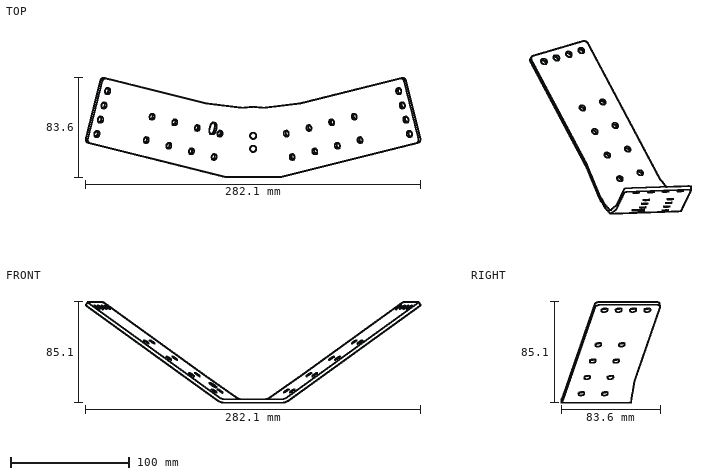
import cadquery as cq
import math

thickness = 3.0
inner_bend_radius = 8.8
bend_angle = 35.0
splay_angle = 14.0

front_half_width = 23.7
middle_depth = 59.3
bend_depth = 58.5

wing_length = 140.3
wing_width = 56.5
wing_corner_radius = 3.5
taper_length = 31.0

hole_diameter = 5.0
end_row_hole_diameter = 5.5
centre_hole_places = [23.7, 34.7]
end_row_distance = 132.5
end_row_start = 9.0
end_row_pitch = 12.5
end_row_count = 4
pair_start = 9.5
pair_pitch = 24.0
pair_count = 4
pair_offsets = [14.0, 34.5]
slot_distance = 17.8
slot_offset = 37.3
slot_length = 10.2
slot_width = 6.8

bend = math.radians(bend_angle)
splay = math.radians(splay_angle)
outer_bend_radius = inner_bend_radius + thickness
bend_centre_height = outer_bend_radius
bend_end_run = inner_bend_radius * math.sin(bend)
bend_end_height = bend_centre_height - inner_bend_radius * math.cos(bend)
bend_line_half_width = front_half_width - bend_depth * math.tan(splay)
reach = front_half_width + wing_length

side_frame = cq.Plane(
    origin=(front_half_width, 0, 0),
    xDir=(math.cos(splay), math.sin(splay), 0),
    normal=(math.sin(splay), -math.cos(splay), 0),
)
wing_frame = cq.Plane(
    origin=side_frame.toWorldCoords((bend_end_run, bend_end_height, 0)),
    xDir=side_frame.xDir * math.cos(bend) + side_frame.yDir * math.sin(bend),
    normal=side_frame.yDir * math.cos(bend) - side_frame.xDir * math.sin(bend),
)


def bend_point(radius, angle):
    """Point on the bend at an angle measured from straight down."""
    return (radius * math.sin(angle), bend_centre_height - radius * math.cos(angle))


def plan_point(slope_distance, offset):
    """Plan position of a point on the upper face of the wing."""
    point = wing_frame.toWorldCoords((slope_distance, offset, 0))
    return (point.x, point.y)


def make_bent_strip():
    """Half of the centre plate, one bend and one wing, before trimming."""
    outer_end = bend_point(outer_bend_radius, bend)
    inner_end = bend_point(inner_bend_radius, bend)
    rise = (wing_length * math.cos(bend), wing_length * math.sin(bend))
    overlap = 2 * front_half_width
    profile = (
        cq.Workplane(side_frame)
        .moveTo(-overlap, 0)
        .lineTo(0, 0)
        .threePointArc(bend_point(outer_bend_radius, bend / 2), outer_end)
        .lineTo(outer_end[0] + rise[0], outer_end[1] + rise[1])
        .lineTo(inner_end[0] + rise[0], inner_end[1] + rise[1])
        .lineTo(*inner_end)
        .threePointArc(bend_point(inner_bend_radius, bend / 2), (0, thickness))
        .lineTo(-overlap, thickness)
        .close()
    )
    return profile.extrude(reach, both=True)


def make_plan_prism():
    """Upright block with the plan outline of one half of the bracket."""
    return (
        cq.Workplane("XY")
        .moveTo(0, 0)
        .lineTo(front_half_width, 0)
        .lineTo(*plan_point(reach, 0))
        .lineTo(*plan_point(reach, wing_width))
        .lineTo(*plan_point(taper_length, wing_width))
        .lineTo(bend_line_half_width, bend_depth)
        .lineTo(0, middle_depth)
        .close()
        .extrude(reach)
    )


def round_wing_corners(half):
    """Round the two free corners of the wing."""
    for offset in (0, wing_width):
        corner = wing_frame.toWorldCoords((wing_length, offset, -thickness / 2))
        half = half.edges(cq.selectors.NearestToPointSelector(corner.toTuple())).fillet(wing_corner_radius)
    return half


def drill_wing(half):
    """End row and paired mounting holes, square to the wing."""
    end_row = [(end_row_distance, end_row_start + i * end_row_pitch) for i in range(end_row_count)]
    pairs = []
    for i in range(pair_count):
        for offset in pair_offsets:
            pairs.append((pair_start + i * pair_pitch, offset))
    for places, diameter in ((end_row, end_row_hole_diameter), (pairs, hole_diameter)):
        drills = cq.Workplane(wing_frame).pushPoints(places).circle(diameter / 2)
        half = half.cut(drills.extrude(thickness, both=True))
    return half


def cut_slot(bracket):
    """Slot through the left wing only, parallel to its bend line."""
    slot = (
        cq.Workplane(wing_frame)
        .center(slot_distance, slot_offset)
        .slot2D(slot_length, slot_width, 90)
        .extrude(thickness, both=True)
    )
    return bracket.cut(slot.mirror("YZ"))


def drill_centre(bracket):
    """Two holes on the symmetry line of the centre plate."""
    places = [(0, y) for y in centre_hole_places]
    drills = cq.Workplane("XY").pushPoints(places).circle(hole_diameter / 2)
    return bracket.cut(drills.extrude(thickness))


right_half = make_bent_strip().intersect(make_plan_prism())
right_half = drill_wing(round_wing_corners(right_half))
bracket = right_half.union(right_half.mirror("YZ"))
result = drill_centre(cut_slot(bracket))